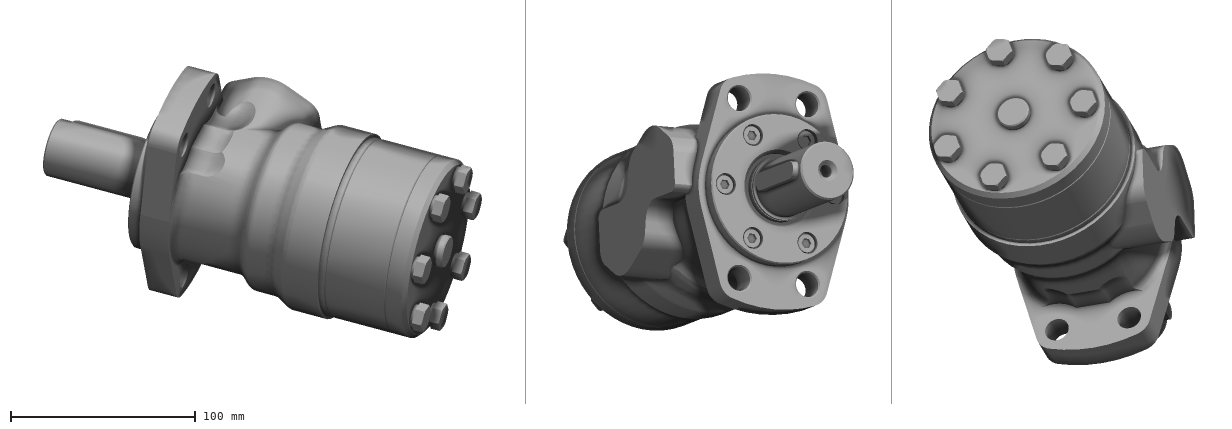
import cadquery as cq
import math


collar_lip_start = 56.2
collar_start = 57.8
pilot_front = 59.0
flange_front = 67.2
flange_back = 83.8
neck_end = 119.2
shoulder_end = 142.0
housing_end = 172.6
plate_end = 176.3
ring_end = 211.0
cover_end = 223.0
motor_end = 230.2
shaft_end = 115.0

shaft_diameter = 32.0
collar_diameter = 35.7
shaft_chamfer = 1.0
collar_lip_diameter = 35.0
centre_hole_diameter = 7.0
centre_hole_depth = 13.8
centre_countersink_diameter = 11.5
drill_point_angle = 118
key_start = 3.2
key_length = 45.8
key_width = 10.0
key_top = 19.3
key_height = 8.0

pilot_diameter = 82.5
pilot_chamfer = 0.7
neck_radius = 40.5
neck_fillet = 4.1
shoulder_radius = 47.0
housing_radius = 51.8
neck_step_angle = 45
neck_step_inner_radius = 7.8
neck_step_outer_radius = 5.8
shoulder_step_angle = 29
shoulder_step_inner_radius = 7.4
shoulder_step_outer_radius = 5.8
seal_recess_diameter = 39.5
seal_recess_depth = 2.8
seal_recess_chamfer = 1.8

flange_height = 129.5
flange_half_height = flange_height / 2
flange_waist_radius = 45.1
flange_side_angle = math.radians(15.5)
flange_crown_radius = 78.3
flange_corner_radius = 11.0
mount_y = 20.5
mount_z = 49.5
mount_hole_diameter = 13.4
mount_hole_chamfer = 0.8
pocket_y = 22.8
pocket_z = 53.6
pocket_radius = 20.7
pocket_end_radius = 15.9
pocket_flat_z = 37.8
pocket_flat_width = 23.0
pocket_flat_end_radius = 9.5
pocket_straight_end = 95.8

screw_count = 6
screw_circle_radius = 32.7
screw_recess_diameter = 12.0
screw_recess_depth = 3.5
screw_head_diameter = 10.0
screw_head_drop = 1.4
screw_socket_flats = 5.0

block_top = 55.2
block_centre_x = 123.0
block_half_length = 47.5
wall_foot_z = 1.2
wall_lean = 1.8
wall_top_z = 19.3
port_x = -18.0
port_z = 18.0
port_radius = 20.0
port_side_angle = math.radians(30)
port_side_run = 12.0
step_wall_top = (10.4, 18.5)
step_wall_foot = (11.0, 13.0)
step_z = 2.5
step_start = 21.5
step_end = 42.4

body_diameter = 100.0
joint_chamfer = 0.5
cover_chamfer = 2.3
bolt_count = 7
bolt_circle_radius = 40.3
bolt_phase = -2.4
bolt_washer_diameter = 13.0
bolt_washer_height = 1.5
bolt_head_flats = 13.4
bolt_head_turn = 47
bolt_head_chamfer = 0.7
plug_diameter = 18.0
plug_neck_diameter = 17.0
plug_neck_height = 1.8
plug_end = 228.4
plug_chamfer = 0.7


def section(x):
    """Workplane across the shaft axis at x: local x is Y, local y is Z, extruding toward +X."""
    return cq.Workplane("YZ", origin=(x, 0, 0))


def cylinder(start, end, diameter):
    return section(start).circle(diameter / 2).extrude(end - start)


def cone(start, end, start_diameter, end_diameter):
    solid = cq.Solid.makeCone(
        start_diameter / 2, end_diameter / 2, end - start, cq.Vector(start, 0, 0), cq.Vector(1, 0, 0)
    )
    return cq.Workplane(solid)


def hexagon(start, end, flats, turn=0):
    corners = flats / math.cos(math.pi / 6)
    prism = section(start).polygon(6, corners).extrude(end - start)
    return prism.rotate((0, 0, 0), (1, 0, 0), turn)


def on_circle(radius, count, phase=0):
    """(y, z) places of an equally spaced circle of features."""
    angles = [math.radians(phase + 360 * i / count) for i in range(count)]
    return [(radius * math.cos(a), radius * math.sin(a)) for a in angles]


def make_key():
    return (
        cq.Workplane("XZ", origin=(key_start + key_length / 2, key_top, 0))
        .slot2D(key_length, key_width)
        .extrude(key_height)
    )


def make_shaft(key):
    shank = cylinder(0, collar_start, shaft_diameter).faces("<X").chamfer(shaft_chamfer)
    collar_lip = cylinder(collar_lip_start, collar_start, collar_lip_diameter)
    collar = cylinder(collar_start, shaft_end, collar_diameter)
    centre_hole = cylinder(0, centre_hole_depth, centre_hole_diameter)
    point_height = centre_hole_diameter / 2 / math.tan(math.radians(drill_point_angle / 2))
    point = cone(centre_hole_depth, centre_hole_depth + point_height, centre_hole_diameter, 0)
    countersink_depth = (centre_countersink_diameter - centre_hole_diameter) / 2
    countersink = cone(0, countersink_depth, centre_countersink_diameter, centre_hole_diameter)
    return shank.union(collar_lip).union(collar).cut(centre_hole).cut(point).cut(countersink).cut(key)


def blend_step(profile, x, low, high, slope, inner_radius, outer_radius):
    """Step a profile up from radius low to high: hollow arc, straight slope, crowned arc."""
    angle = math.radians(slope)
    rise = 1 - math.cos(angle)
    inner_end = (x + inner_radius * math.sin(angle), low + inner_radius * rise)
    slope_rise = high - low - (inner_radius + outer_radius) * rise
    outer_start = (inner_end[0] + slope_rise / math.tan(angle), inner_end[1] + slope_rise)
    outer_end = (outer_start[0] + outer_radius * math.sin(angle), high)
    return (
        profile.lineTo(x, low)
        .tangentArcPoint(inner_end, relative=False)
        .lineTo(*outer_start)
        .tangentArcPoint(outer_end, relative=False)
    )


def make_turned_body():
    """Neck, shoulder and wide rear of the housing, turned about X."""
    root_radius = neck_radius + neck_fillet
    mid_arc = neck_fillet * (1 - math.sqrt(0.5))
    profile = (
        cq.Workplane("XY")
        .moveTo(flange_front, 0)
        .lineTo(flange_front, neck_radius)
        .lineTo(flange_back, neck_radius)
        .lineTo(flange_back, root_radius)
        .threePointArc(
            (flange_back + mid_arc, neck_radius + mid_arc),
            (flange_back + neck_fillet, neck_radius),
        )
    )
    profile = blend_step(
        profile, neck_end, neck_radius, shoulder_radius,
        neck_step_angle, neck_step_inner_radius, neck_step_outer_radius,
    )
    profile = blend_step(
        profile, shoulder_end, shoulder_radius, housing_radius,
        shoulder_step_angle, shoulder_step_inner_radius, shoulder_step_outer_radius,
    )
    profile = profile.lineTo(housing_end, housing_radius).lineTo(housing_end, 0).close()
    return profile.revolve(360, (0, 0, 0), (1, 0, 0))


def make_flange():
    """Oval flange: round waist, straight tangent sides and crowned ends."""
    thickness = flange_back - flange_front
    tangent_y = flange_waist_radius * math.cos(flange_side_angle)
    tangent_z = flange_waist_radius * math.sin(flange_side_angle)
    side_taper = flange_half_height * math.sin(flange_side_angle)
    end_y = (flange_waist_radius - side_taper) / math.cos(flange_side_angle)
    flange = (
        section(flange_front)
        .moveTo(tangent_y, -tangent_z)
        .threePointArc((flange_waist_radius, 0), (tangent_y, tangent_z))
        .lineTo(end_y, flange_half_height)
        .lineTo(-end_y, flange_half_height)
        .lineTo(-tangent_y, tangent_z)
        .threePointArc((-flange_waist_radius, 0), (-tangent_y, -tangent_z))
        .lineTo(-end_y, -flange_half_height)
        .lineTo(end_y, -flange_half_height)
        .close()
        .extrude(thickness)
    )
    crown_offset = flange_crown_radius - flange_half_height
    for crown_z in (crown_offset, -crown_offset):
        crown = section(flange_front).center(0, crown_z).circle(flange_crown_radius).extrude(thickness)
        flange = flange.intersect(crown)
    corners = [e for e in flange.edges("|X").vals() if abs(e.Center().z) > mount_z]
    return flange.newObject(corners).fillet(flange_corner_radius)


def half_block_outline(plan, sign):
    """Half of the block outline, from one long wall to the other; sign -1 turns it half a turn."""
    def place(x, z):
        return (sign * x, sign * z)

    arc_x = port_radius * math.sin(port_side_angle)
    arc_z = port_z + port_radius * math.cos(port_side_angle)
    side_z = arc_z - port_side_run * math.tan(port_side_angle)
    return (
        plan.lineTo(*place(wall_lean - block_half_length, wall_top_z))
        .tangentArcPoint(place(port_x - arc_x - port_side_run, side_z), relative=False)
        .lineTo(*place(port_x - arc_x, arc_z))
        .threePointArc(place(port_x, port_z + port_radius), place(port_x + arc_x, arc_z))
        .lineTo(*place(port_x + arc_x + port_side_run, side_z))
        .tangentArcPoint(place(*step_wall_top), relative=False)
        .lineTo(*place(*step_wall_foot))
        .tangentArcPoint(place(step_start, step_z), relative=False)
        .lineTo(*place(step_end, step_z))
        .tangentArcPoint(place(block_half_length, -wall_foot_z), relative=False)
    )


def make_port_block():
    """Block under the ports, standing from the shaft axis up to the port face."""
    plan = cq.Workplane("XZ", origin=(block_centre_x, block_top, 0))
    plan = plan.moveTo(-block_half_length, wall_foot_z)
    for sign in (1, -1):
        plan = half_block_outline(plan, sign)
    return plan.close().extrude(block_top)


def make_bolt_pockets():
    """Round-ended clearances behind the flange for the mounting bolts, joined by a flat."""
    straight_length = pocket_straight_end - flange_back
    bolt_space = section(flange_back).circle(pocket_radius).extrude(straight_length + pocket_end_radius)
    bolt_space = bolt_space.faces(">X").edges().fillet(pocket_end_radius)
    flat_height = flange_half_height - pocket_flat_z
    flat = (
        section(flange_back)
        .center(0, pocket_flat_z + flat_height / 2)
        .rect(pocket_flat_width, flat_height)
        .extrude(straight_length + pocket_flat_end_radius)
    )
    upper = flat.faces(">X").edges("<Z").fillet(pocket_flat_end_radius)
    for y in (-pocket_y, pocket_y):
        upper = upper.union(bolt_space.translate((0, y, pocket_z)))
    return upper.union(upper.mirror("XY"))


def drill_mount_holes(flange):
    places = [(y, z) for y in (-mount_y, mount_y) for z in (-mount_z, mount_z)]
    hole = cylinder(flange_front, flange_back, mount_hole_diameter)
    hole = hole.union(cone(
        flange_front, flange_front + mount_hole_chamfer,
        mount_hole_diameter + 2 * mount_hole_chamfer, mount_hole_diameter,
    ))
    for y, z in places:
        flange = flange.cut(hole.translate((0, y, z)))
    return flange


def make_screw_recess():
    """Ring-shaped recess round a socket screw head, with the head's hexagon socket."""
    recess_end = pilot_front + screw_recess_depth
    head_face = pilot_front + screw_head_drop
    recess = cylinder(pilot_front, recess_end, screw_recess_diameter)
    head = cylinder(head_face, recess_end, screw_head_diameter)
    return recess.cut(head).union(hexagon(head_face, recess_end, screw_socket_flats))


def make_housing():
    pilot = cylinder(pilot_front, flange_front, pilot_diameter).faces("<X").chamfer(pilot_chamfer)
    housing = make_turned_body().union(make_port_block()).cut(make_bolt_pockets())
    housing = housing.union(drill_mount_holes(make_flange())).union(pilot)

    recess_end = pilot_front + seal_recess_depth
    recess = cylinder(pilot_front, recess_end, seal_recess_diameter)
    recess_bevel = cone(
        pilot_front, pilot_front + seal_recess_chamfer,
        seal_recess_diameter + 2 * seal_recess_chamfer, seal_recess_diameter,
    )
    shaft_bore = cylinder(pilot_front, shaft_end, collar_diameter)
    housing = housing.cut(recess).cut(recess_bevel).cut(shaft_bore)

    screw_recess = make_screw_recess()
    for y, z in on_circle(screw_circle_radius, screw_count):
        housing = housing.cut(screw_recess.translate((0, y, z)))
    return housing


def make_plate():
    return cylinder(housing_end, plate_end, body_diameter).faces(">X").chamfer(joint_chamfer)


def make_gear_ring():
    return cylinder(plate_end, ring_end, body_diameter).faces("<X or >X").chamfer(joint_chamfer)


def make_bolt():
    washer_end = cover_end + bolt_washer_height
    washer = cylinder(cover_end, washer_end, bolt_washer_diameter)
    head = hexagon(washer_end, motor_end, bolt_head_flats, bolt_head_turn)
    corner_diameter = bolt_head_flats / math.cos(math.pi / 6)
    rounding = cylinder(washer_end, motor_end, corner_diameter).faces(">X").chamfer(bolt_head_chamfer)
    return washer.union(head.intersect(rounding))


def make_end_cover():
    """Rear cover carrying its bolt heads and the central plug."""
    cover = cylinder(ring_end, cover_end, body_diameter)
    cover = cover.faces("<X").chamfer(joint_chamfer).faces(">X").chamfer(cover_chamfer)
    bolt = make_bolt()
    for y, z in on_circle(bolt_circle_radius, bolt_count, bolt_phase):
        cover = cover.union(bolt.translate((0, y, z)))
    plug_neck_end = cover_end + plug_neck_height
    plug_neck = cylinder(cover_end, plug_neck_end, plug_neck_diameter)
    plug = cylinder(plug_neck_end, plug_end, plug_diameter).faces(">X").chamfer(plug_chamfer)
    return cover.union(plug_neck).union(plug)


key = make_key()
shaft = make_shaft(key)
housing = make_housing()
plate = make_plate()
gear_ring = make_gear_ring()
end_cover = make_end_cover()

result = cq.Compound.makeCompound(
    [shaft.val(), key.val(), housing.val(), plate.val(), gear_ring.val(), end_cover.val()]
)